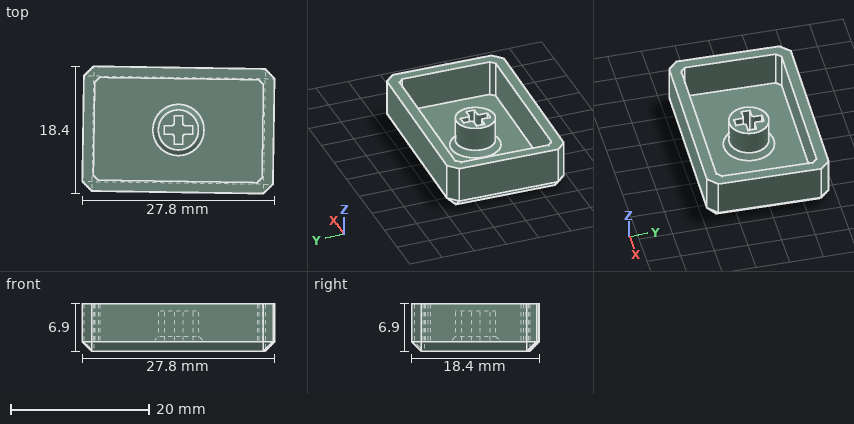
import cadquery as cq

shell_length = 27.575
shell_width = 18.05
shell_height = 6.9
shell_turn = -0.873
edge_chamfer = 1.4

wall = 1.6
floor_thickness = 1.4
cavity_chamfer = 0.7

stem_diameter = 5.8
stem_recess = 1.0
stem_foot = 0.8
cross_span = 4.15
cross_arm_width = 1.25
cross_corner_radius = 0.35

stem_top = shell_height - stem_recess


def standing_box(length, width, height, base):
    """Box centred on the Z axis, standing on the plane Z = base."""
    box = cq.Workplane("XY").box(length, width, height, centered=(True, True, False))
    return box.translate((0, 0, base))


def make_shell():
    """Open tray with chamfered upright edges and a chamfered bottom rim."""
    outer = standing_box(shell_length, shell_width, shell_height, 0)
    outer = outer.edges("|Z or <Z").chamfer(edge_chamfer)
    cavity = standing_box(
        shell_length - 2 * wall,
        shell_width - 2 * wall,
        shell_height - floor_thickness,
        floor_thickness,
    )
    cavity = cavity.edges("|Z").chamfer(cavity_chamfer)
    return outer.cut(cavity).rotate((0, 0, 0), (0, 0, 1), shell_turn)


def make_stem():
    """Round post on the cavity floor, widened by a conical foot."""
    radius = stem_diameter / 2
    return (
        cq.Workplane("XZ")
        .moveTo(0, floor_thickness)
        .lineTo(radius + stem_foot, floor_thickness)
        .lineTo(radius, floor_thickness + stem_foot)
        .lineTo(radius, stem_top)
        .lineTo(0, stem_top)
        .close()
        .revolve(360, (0, 0), (0, 1))
    )


def make_cross_socket():
    """Cross-shaped pocket down to the cavity floor, rounded where its arms meet."""
    depth = stem_top - floor_thickness
    arm_along_x = standing_box(cross_span, cross_arm_width, depth, floor_thickness)
    arm_along_y = standing_box(cross_arm_width, cross_span, depth, floor_thickness)
    cross = arm_along_x.union(arm_along_y)
    reach = cross_arm_width
    meeting_edges = cq.selectors.BoxSelector((-reach, -reach, 0), (reach, reach, shell_height))
    return cross.edges("|Z").edges(meeting_edges).fillet(cross_corner_radius)


result = make_shell().union(make_stem()).cut(make_cross_socket())